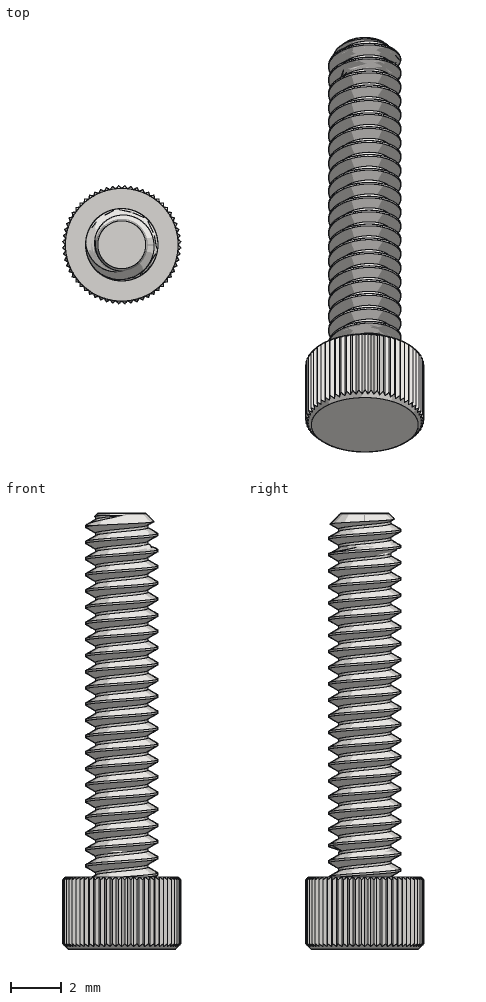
import cadquery as cq
import math

overall_length = 17.13
head_height = 2.85
head_width = 4.65
knurl_count = 60
knurl_step = math.pi / knurl_count
head_radius = head_width / 2 / math.cos(knurl_step)
knurl_root_radius = 2.21
head_bottom_chamfer = 0.22
head_top_chamfer = 0.111

shank_length = overall_length - head_height
thread_turns = 22.5
pitch = shank_length / thread_turns
major_radius = 1.42
tip_radius = 0.95
first_crest_height = 0.12

flank_angle = 30.0
crest_width = pitch / 8
root_width = pitch / 6
flank_slope = math.tan(math.radians(flank_angle))
thread_depth = (pitch - crest_width - root_width) / (2 * flank_slope)
core_radius = major_radius - thread_depth
ridge_embed = 0.03


def make_head():
    """Star-shaped knurl prism trimmed by a chamfered cylinder."""
    knurl_points = []
    for step in range(2 * knurl_count):
        angle = step * knurl_step
        radius = knurl_root_radius if step % 2 == 0 else head_radius
        knurl_points.append((radius * math.cos(angle), radius * math.sin(angle)))
    knurl = cq.Workplane("XY").polyline(knurl_points).close().extrude(-head_height)
    blank = (
        cq.Workplane("XY")
        .circle(head_radius)
        .extrude(-head_height)
        .faces("<Z")
        .chamfer(head_bottom_chamfer)
        .faces(">Z")
        .chamfer(head_top_chamfer)
    )
    return knurl.intersect(blank)


def make_core():
    """Plain cylinder at the thread root, under the 45 degree tip cone."""
    return (
        cq.Workplane("XY")
        .circle(core_radius)
        .extrude(shank_length)
        .faces(">Z")
        .chamfer(core_radius - tip_radius)
    )


def make_tip_trimmer():
    """Body of revolution covering everything outside the 45 degree tip cone."""
    outer_radius = 2 * major_radius
    cone_drop = outer_radius - tip_radius
    trimmer_top = shank_length + 3 * pitch
    return (
        cq.Workplane("XZ")
        .polyline([
            (0, shank_length),
            (tip_radius, shank_length),
            (outer_radius, shank_length - cone_drop),
            (outer_radius, trimmer_top),
            (0, trimmer_top),
        ])
        .close()
        .revolve()
    )


def make_thread_ridge():
    """Right-hand ridge, started one turn low inside the head and run past the tip."""
    base_radius = core_radius - ridge_embed
    base_half_width = (pitch - root_width) / 2 + ridge_embed * flank_slope
    ridge_start = first_crest_height - pitch
    ridge_length = shank_length + 2 * pitch
    helix = cq.Wire.makeHelix(pitch, ridge_length, major_radius)
    helix = helix.translate(cq.Vector(0, 0, ridge_start))
    profile = (
        cq.Workplane("XZ")
        .polyline([
            (base_radius, ridge_start - base_half_width),
            (major_radius, ridge_start - crest_width / 2),
            (major_radius, ridge_start + crest_width / 2),
            (base_radius, ridge_start + base_half_width),
        ])
        .close()
    )
    return profile.sweep(cq.Workplane(obj=helix), isFrenet=True)


thread = make_thread_ridge().cut(make_tip_trimmer())
result = make_head().union(make_core()).union(thread)